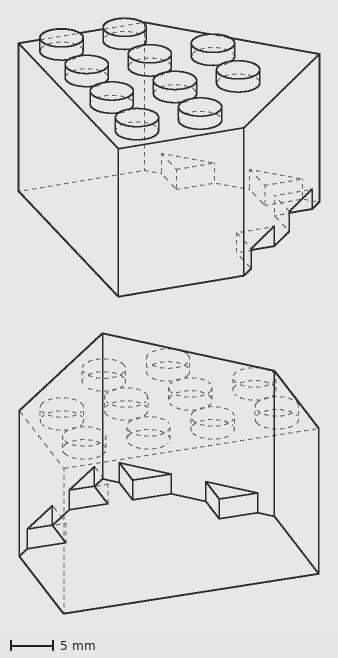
import cadquery as cq

pitch = 8.0
stud_columns = 4
side_clearance = 0.1

width = stud_columns * pitch - 2 * side_clearance
half_width = width / 2
length = width
shoulder_y = length - half_width
body_height = 19.2

stud_diameter = 5.1
stud_height = 1.7
stud_inset = pitch / 2 - side_clearance
full_rows = 2
shortened_rows = 1

notch_size = 4.9
notch_height = 2.6


def column_x(column):
    return -half_width + stud_inset + column * pitch


def row_y(row):
    return stud_inset + row * pitch


def make_body():
    outline = [
        (-half_width, 0),
        (half_width, 0),
        (half_width, shoulder_y),
        (0, length),
        (-half_width, shoulder_y),
    ]
    return cq.Workplane("XY").polyline(outline).close().extrude(body_height)


def stud_centres():
    centres = []
    for row in range(full_rows + shortened_rows):
        margin = max(0, row - full_rows + 1)
        for column in range(margin, stud_columns - margin):
            centres.append((column_x(column), row_y(row)))
    return centres


def make_studs():
    return (
        cq.Workplane("XY")
        .workplane(offset=body_height)
        .pushPoints(stud_centres())
        .circle(stud_diameter / 2)
        .extrude(stud_height)
    )


def notch_centres():
    centres = []
    for step in range(stud_columns // 2):
        row = full_rows + step
        for column in (step, stud_columns - 1 - step):
            centres.append((column_x(column), row_y(row)))
    return centres


def make_notches():
    return (
        cq.Workplane("XY")
        .pushPoints(notch_centres())
        .rect(notch_size, notch_size)
        .extrude(notch_height)
    )


result = make_body().union(make_studs()).cut(make_notches())